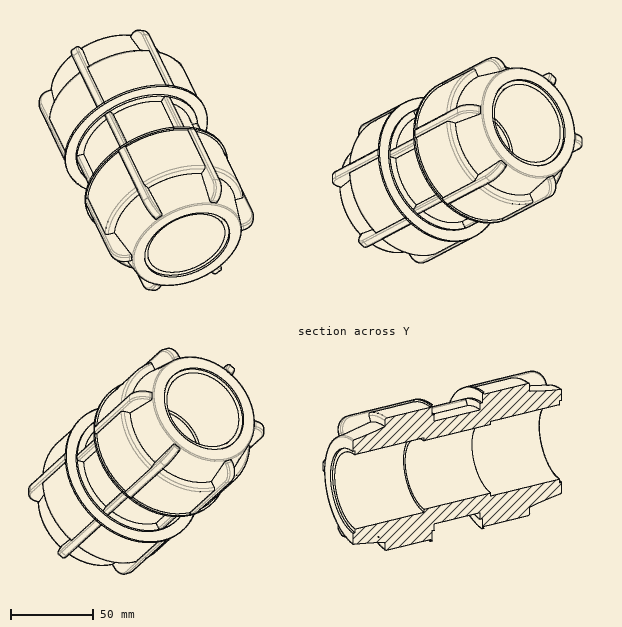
import cadquery as cq

total_length = 146
flange_radius = 92 / 2
half_length = total_length / 2

core_radius = 34.7
collar_radius = 78.3 / 2
collar_inner_face = 15.9

flange_inner_face = 17.4
flange_outer_face = 18.7
nut_radius = 44.7
nut_outer_face = 50.8
nut_edge_fillet = 1.5
cone_base_radius = collar_radius
cone_tip_radius = 35.2
lip_fillet = 0.7

bore_radius = 46.0 / 2
seat_radius = 50.0 / 2
mouth_radius = 55.0 / 2
mouth_depth = 1.5
seat_depth = 49.6

rib_count = 6
rib_root_radius = 29.2
core_rib_width = 4.2
grip_rib_width = 5.3
grip_rib_end = 71.7
grip_corner_radius = 9.2
rib_edge_fillet = 0.95


def disc(start, end, radius):
    """Cylinder about the X axis between two X positions."""
    return cq.Workplane("YZ", origin=(start, 0, 0)).circle(radius).extrude(end - start)


def around_axis(rib):
    """The rib repeated evenly about the X axis."""
    ring = rib
    for index in range(1, rib_count):
        ring = ring.union(rib.rotate((0, 0, 0), (1, 0, 0), index * 360 / rib_count))
    return ring


def rib_blank(start, end, tip_radius, width):
    """Flat rib along X, standing out along +Y."""
    length = end - start
    height = tip_radius - rib_root_radius
    return cq.Workplane("XY").box(length, height, width, centered=(False, False, True)).translate(
        (start, rib_root_radius, 0)
    )


def central_body():
    body = disc(-flange_inner_face, flange_inner_face, core_radius)
    rib = rib_blank(-collar_inner_face, collar_inner_face, collar_radius, core_rib_width)
    rib = rib.faces(">Y").edges("|X").fillet(rib_edge_fillet)
    body = body.union(around_axis(rib))
    for start, end in (
        (-flange_inner_face, -collar_inner_face),
        (collar_inner_face, flange_inner_face),
    ):
        body = body.union(disc(start, end, collar_radius))
    return body


def end_nut():
    """Nut on the +X end: flange, round body, tapered nose and grip ribs."""
    flange = disc(flange_inner_face, flange_outer_face, flange_radius)
    barrel = disc(flange_inner_face, nut_outer_face, nut_radius)
    barrel = barrel.faces(">X").edges().fillet(nut_edge_fillet)
    nose = (
        cq.Workplane("XY")
        .moveTo(flange_inner_face, 0)
        .lineTo(flange_inner_face, cone_base_radius)
        .lineTo(nut_outer_face, cone_base_radius)
        .lineTo(half_length, cone_tip_radius)
        .lineTo(half_length, 0)
        .close()
        .revolve(360, (0, 0, 0), (1, 0, 0))
    )
    nose = nose.faces(">X").edges().fillet(lip_fillet)
    rib = rib_blank(flange_outer_face, grip_rib_end, flange_radius, grip_rib_width)
    rib = rib.edges(">X and >Y").fillet(grip_corner_radius)
    rib = rib.faces(">Y").edges("|X").fillet(rib_edge_fillet)
    return flange.union(barrel).union(nose).union(around_axis(rib))


def bore():
    hole = disc(-half_length, half_length, bore_radius)
    for side in (-1, 1):
        outer_face = side * half_length
        hole = hole.union(disc(outer_face - side * seat_depth, outer_face, seat_radius))
        hole = hole.union(disc(outer_face - side * mouth_depth, outer_face, mouth_radius))
    return hole


nut = end_nut()
result = central_body().union(nut).union(nut.mirror("YZ")).cut(bore())